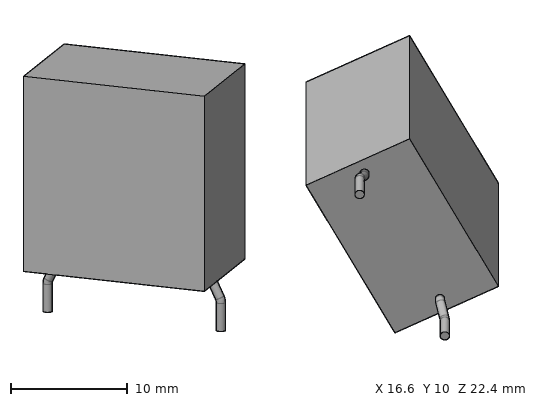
import cadquery as cq
import math

total_height = 22.45
body_width = 16.5
body_depth = 10.0
lead_height = 4.96
lead_span = 16.61

wire_diameter = 0.8
lead_offset = 0.9
bend_tilt = math.radians(26)
bend_radius = 0.9
tail_length = 2.51

body_height = total_height - lead_height
tail_x = (lead_span - wire_diameter) / 2
root_x = tail_x - lead_offset
bend_shift = bend_radius * (1 - math.cos(bend_tilt))
bend_drop = bend_radius * math.sin(bend_tilt)
sloped_shift = lead_offset - 2 * bend_shift
sloped_drop = sloped_shift / math.tan(bend_tilt)
tail_top_z = tail_length - lead_height
lower_bend_top_z = tail_top_z + bend_drop
upper_bend_bottom_z = lower_bend_top_z + sloped_drop
upper_bend_top_z = upper_bend_bottom_z + bend_drop


def make_body():
    """Plain rectangular box standing above the leads."""
    return cq.Workplane("XY").box(
        body_width, body_depth, body_height, centered=(True, True, False)
    )


def make_lead(side):
    """Round wire cranked outward; side is -1 for the -X lead and +1 for the +X lead."""
    axis = (
        cq.Workplane("XZ")
        .moveTo(side * root_x, 0)
        .lineTo(side * root_x, upper_bend_top_z)
        .tangentArcPoint((side * (root_x + bend_shift), upper_bend_bottom_z), relative=False)
        .lineTo(side * (tail_x - bend_shift), lower_bend_top_z)
        .tangentArcPoint((side * tail_x, tail_top_z), relative=False)
        .lineTo(side * tail_x, -lead_height)
    )
    wire_section = cq.Workplane("XY").center(side * root_x, 0).circle(wire_diameter / 2)
    return wire_section.sweep(axis)


body = make_body()
leads = [make_lead(side) for side in (-1, 1)]

result = cq.Compound.makeCompound([body.val(), *[lead.val() for lead in leads]])